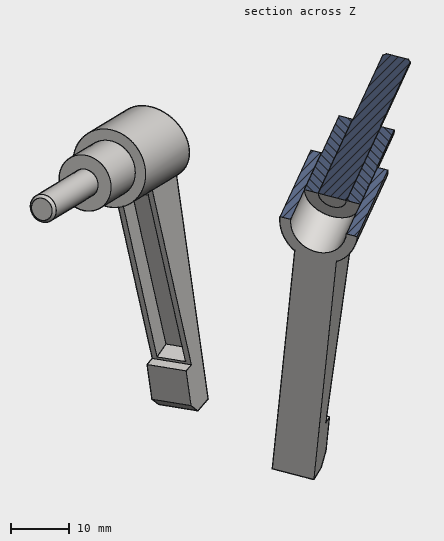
import cadquery as cq
import math


hub_diameter = 14.0
hub_radius = hub_diameter / 2
hub_top_length = 14.25
lean_angle = 15.0

overall_height = 57.55
lever_width = 7.55
tip_thickness = 6.0
neck_thickness = 3.95
tip_length = 9.3
tip_flat = 3.95
tip_chamfer_length = 2.3
front_angle = 22.1

pocket_side_wall = 1.05
pocket_end_wall = 0.5
pocket_depth = 3.55
pocket_top_gap = 0.1

collar_diameter = 10.0
collar_projection = 9.0
collar_insertion = 9.0
stud_diameter = 5.0
stud_projection = 16.0
stud_chamfer = 0.5

lean = math.radians(lean_angle)
taper = math.radians(front_angle)
stud_end = -(collar_projection + stud_projection)

tip_z = hub_radius - overall_height + tip_flat * math.sin(lean)


def back_face_y(z):
    """Y of the sloping back face at height z."""
    return hub_top_length + (hub_radius - z) * math.tan(lean)


def lever_point(along, depth):
    """(Y, Z) of a point along the back face from the tip, and depth in from that face."""
    y = back_face_y(tip_z) - along * math.sin(lean) - depth * math.cos(lean)
    z = tip_z + along * math.cos(lean) - depth * math.sin(lean)
    return y, z


neck_y, neck_z = lever_point(tip_length, neck_thickness)


def front_face_point(z, depth=0.0):
    """(Y, Z) of the tapered front face at height z, moved square into the lever by depth."""
    y = neck_y - (z - neck_z) * math.tan(taper)
    return y + depth * math.cos(taper), z + depth * math.sin(taper)


def extrude_across(points, width):
    """Extrude a (Y, Z) outline by width, centred on X = 0."""
    return cq.Workplane("YZ").polyline(points).close().extrude(width / 2, both=True)


def cylinder(diameter, start_y, end_y):
    """Cylinder on the Y axis from start_y up to the larger end_y."""
    plane = cq.Workplane("XZ", origin=(0, end_y, 0))
    return plane.circle(diameter / 2).extrude(end_y - start_y)


def make_hub():
    """Cylinder cut off at its back end by the sloping back face."""
    side_outline = [
        (0, hub_radius),
        (back_face_y(hub_radius), hub_radius),
        (back_face_y(-hub_radius), -hub_radius),
        (0, -hub_radius),
    ]
    blank = cylinder(hub_diameter, 0, back_face_y(-hub_radius))
    return blank.intersect(extrude_across(side_outline, hub_diameter))


def make_lever():
    """Tapered arm with a thicker, chamfered tip, running up to the stud axis."""
    return extrude_across(
        [
            (back_face_y(0), 0),
            lever_point(0, 0),
            lever_point(0, tip_flat),
            lever_point(tip_chamfer_length, tip_thickness),
            lever_point(tip_length, tip_thickness),
            (neck_y, neck_z),
            front_face_point(0),
        ],
        lever_width,
    )


def make_pocket():
    """Block that hollows the lever square to its tapered front face."""
    bottom_z = neck_z + pocket_end_wall * math.cos(taper)
    top_z = -hub_radius - pocket_top_gap
    return extrude_across(
        [
            front_face_point(bottom_z),
            front_face_point(bottom_z, pocket_depth),
            front_face_point(top_z, pocket_depth),
            front_face_point(top_z),
        ],
        lever_width - 2 * pocket_side_wall,
    )


def make_handle():
    """Hub and lever in one piece, with a through bore for the collar."""
    bore = cylinder(collar_diameter, 0, back_face_y(-hub_radius))
    return make_hub().union(make_lever()).cut(make_pocket()).cut(bore)


def make_collar():
    """Sleeve seated in the hub bore, with a through hole for the stud."""
    sleeve = cylinder(collar_diameter, -collar_projection, collar_insertion)
    hole = cylinder(stud_diameter, -collar_projection, collar_insertion)
    return sleeve.cut(hole)


def make_stud():
    """Plain stud filling the collar, chamfered at its free end."""
    stud = cylinder(stud_diameter, stud_end, collar_insertion)
    return stud.faces("<Y").chamfer(stud_chamfer)


handle = make_handle()
collar = make_collar()
stud = make_stud()

result = cq.Compound.makeCompound([handle.solids().val(), collar.solids().val(), stud.solids().val()])